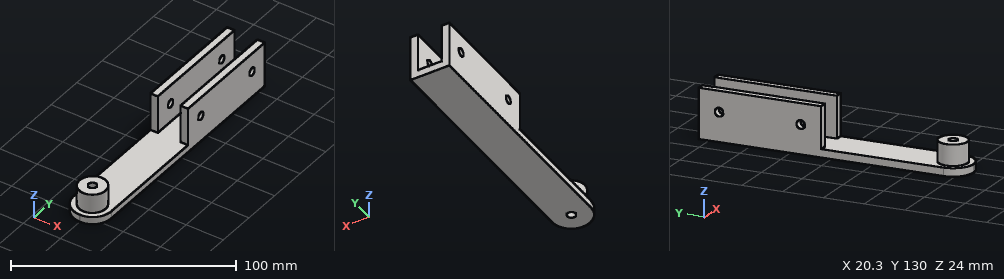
import cadquery as cq

length = 130.0
width = 20.3
height = 24.0
plate_thickness = 4.0
end_radius = 10.0

wall_thickness = 4.0
wall_length = 60.0
wall_hole_diameter = 4.0
wall_hole_inset = 10.0
wall_hole_height = (plate_thickness + height) / 2

boss_diameter = 14.0
boss_height = (height - plate_thickness) / 2
boss_hole_diameter = 4.2

front_y = -length / 2
back_y = length / 2
wall_front_y = back_y - wall_length
boss_y = front_y + end_radius


def make_plate():
    plate = cq.Workplane("XY").box(width, length, plate_thickness, centered=(True, True, False))
    return plate.edges("|Z and <Y").fillet(end_radius)


def make_walls():
    """Two upright walls flush with the plate sides, cross-drilled along X."""
    wall_center_y = (wall_front_y + back_y) / 2
    wall_offset_x = (width - wall_thickness) / 2
    walls = (
        cq.Workplane("XY")
        .pushPoints([(-wall_offset_x, wall_center_y), (wall_offset_x, wall_center_y)])
        .rect(wall_thickness, wall_length)
        .extrude(height)
    )
    hole_places = [
        (wall_front_y + wall_hole_inset, wall_hole_height),
        (back_y - wall_hole_inset, wall_hole_height),
    ]
    holes = (
        cq.Workplane("YZ")
        .pushPoints(hole_places)
        .circle(wall_hole_diameter / 2)
        .extrude(width, both=True)
    )
    return walls.cut(holes)


def make_boss():
    boss_base = cq.Workplane("XY", origin=(0, boss_y, plate_thickness))
    return boss_base.circle(boss_diameter / 2).extrude(boss_height)


def make_boss_hole():
    """Bore through the boss and the plate."""
    hole_base = cq.Workplane("XY", origin=(0, boss_y, 0))
    return hole_base.circle(boss_hole_diameter / 2).extrude(plate_thickness + boss_height)


result = make_plate().union(make_walls()).union(make_boss()).cut(make_boss_hole())